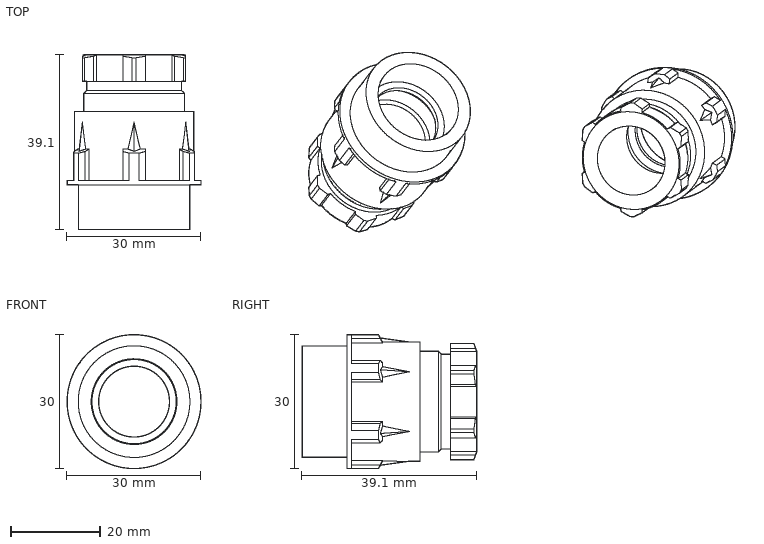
import cadquery as cq
import math


spigot_length = 10.0
flange_thickness = 1.0
body_end = 26.4
chamfer_start = 30.45
head_start = 33.13
screw_end = 39.09
flange_back = spigot_length + flange_thickness

spigot_radius = 12.5
flange_radius = 15.0
barrel_radius = 13.35
shank_radius = 11.3
neck_radius = 10.65
head_radius = 11.45

socket_mouth_radius = 9.6
socket_floor_radius = 9.42
socket_depth = 8.4
bore_radius = 7.9
seat_start = 9.8
seat_length = 1.85
seat_radius = 9.0
shank_engagement = 10.0
shank_start = body_end - shank_engagement

rib_count = 6
rib_angle = 360 / rib_count
rib_half_width = 2.5
body_rib_top_half_width = 1.08
body_rib_shoulder_height = 14.12
body_rib_cone_start = 17.07
body_rib_cone_angle = 29.0
head_rib_height = 13.05
head_rib_top_half_width = 0.45
head_rib_shoulder_height = 11.9
head_cone_start = 38.4
head_cone_end_radius = 11.2

ridge_tip = 24.0
ridge_foot = 17.5
ridge_foot_height = 14.25
ridge_flank_angle = 33.0
ridge_depth = 1.1

overlap = 1.0


def ring(profile):
    """Solid of revolution about Y from (radius, y) points."""
    return cq.Workplane("XY").polyline(profile).close().revolve(360, (0, 0), (0, 1))


def rib_bar(start, end, top, top_half_width, shoulder, root):
    """Bar along Y under +Z: flat top, sloping flanks, then upright sides down to the root."""
    outline = [
        (-rib_half_width, root),
        (-rib_half_width, shoulder),
        (-top_half_width, top),
        (top_half_width, top),
        (rib_half_width, shoulder),
        (rib_half_width, root),
    ]
    bar = cq.Workplane("XZ").polyline(outline).close().extrude(start - end)
    return bar.translate((0, start, 0))


def around_axis(shape):
    """One copy of the shape for each rib position."""
    return [shape.rotate((0, 0, 0), (0, 1, 0), i * rib_angle) for i in range(rib_count)]


def body_rib():
    """Rib standing on the flange, its far end cut back by a cone."""
    root = shank_radius + overlap
    cone_rise = flange_radius - root
    cone_end = body_rib_cone_start + cone_rise * math.tan(math.radians(body_rib_cone_angle))
    bar = rib_bar(
        spigot_length, cone_end, flange_radius, body_rib_top_half_width, body_rib_shoulder_height, root
    )
    envelope = ring([
        (0, spigot_length),
        (flange_radius, spigot_length),
        (flange_radius, body_rib_cone_start),
        (root, cone_end),
        (0, cone_end),
    ])
    return bar.intersect(envelope)


def body_ridge():
    """Three-sided prism tilted so that its crest sinks into the barrel at the tip."""
    length = ridge_tip - ridge_foot
    rise = ridge_foot_height - barrel_radius
    half_width = ridge_depth / math.tan(math.radians(ridge_flank_angle))
    prism = (
        cq.Workplane("XZ")
        .polyline([(0, 0), (half_width, -ridge_depth), (-half_width, -ridge_depth)])
        .close()
        .extrude(math.hypot(length, rise))
    )
    tilt = math.degrees(math.atan2(rise, length))
    return prism.rotate((0, 0, 0), (1, 0, 0), -tilt).translate((0, ridge_tip, barrel_radius))


def make_gland_body():
    body = ring([
        (0, 0),
        (spigot_radius, 0),
        (spigot_radius, spigot_length),
        (flange_radius, spigot_length),
        (flange_radius, flange_back),
        (barrel_radius, flange_back),
        (barrel_radius, body_end),
        (0, body_end),
    ])
    for rib in around_axis(body_rib()):
        body = body.union(rib)
    for ridge in around_axis(body_ridge()):
        body = body.union(ridge)
    cavity = ring([
        (0, 0),
        (socket_mouth_radius, 0),
        (socket_floor_radius, socket_depth),
        (bore_radius, socket_depth),
        (bore_radius, seat_start),
        (seat_radius, seat_start + seat_length),
        (seat_radius, shank_start),
        (shank_radius, shank_start),
        (shank_radius, body_end),
        (0, body_end),
    ])
    return body.cut(cavity)


def make_pressure_screw():
    shank_chamfer = shank_radius - neck_radius
    screw = ring([
        (0, shank_start),
        (shank_radius, shank_start),
        (shank_radius, chamfer_start),
        (neck_radius, chamfer_start + shank_chamfer),
        (neck_radius, head_start),
        (head_radius, head_start),
        (head_radius, screw_end),
        (0, screw_end),
    ])
    head_rib = rib_bar(
        head_start, screw_end, head_rib_height, head_rib_top_half_width, head_rib_shoulder_height, neck_radius
    )
    for rib in around_axis(head_rib):
        screw = screw.union(rib)
    outside = head_rib_height + overlap
    bevel = ring([
        (head_rib_height, head_cone_start),
        (outside, head_cone_start),
        (outside, screw_end),
        (head_cone_end_radius, screw_end),
    ])
    bore = ring([
        (0, shank_start),
        (bore_radius, shank_start),
        (bore_radius, screw_end),
        (0, screw_end),
    ])
    return screw.cut(bevel).cut(bore)


gland_body = make_gland_body()
pressure_screw = make_pressure_screw()

result = cq.Compound.makeCompound([gland_body.val(), pressure_screw.val()])